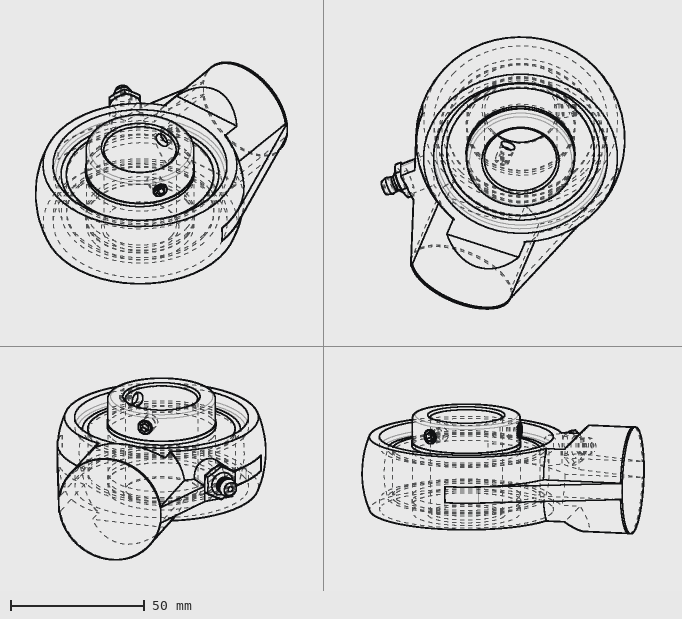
import cadquery as cq
import math


total_length = 102.7
body_radius = 39.0
shank_end_y = total_length - body_radius

body_half_width = 13.9
body_face_radius = 36.3
recess_diameter = 65.0
recess_floor_z = 9.2
recess_fillet = 1.0
seat_radius = 30.9

shank_radius = 39.8 / 2
end_collar_radius = 40.1 / 2
end_collar_length = 0.7
shank_start_y = 33.5
flat_end_y = 40.4
flat_ramp_height = shank_radius - body_half_width

web_half_thickness = 3.1

nipple_angle = 135.0
nipple_axis_z = 4.0
grease_boss_radius = 6.0
grease_boss_start = 33.9
grease_boss_end = 46.5
nipple_hex_flats = 11.5
nipple_hex_length = 3.0
nipple_crown_radius = 4.4
nipple_crown_slope = 20.0
nipple_neck_start = 50.8
nipple_groove_radius = 2.7
nipple_neck_radius = 3.1
nipple_collar_radius = 6.0 / 2
nipple_collar_start = 51.8
nipple_collar_end = 52.4
nipple_head_radius = 3.4
nipple_head_widest = 53.9
nipple_tip_radius = 2.6
nipple_tip = 56.1
nipple_ball_radius = 1.2
nipple_ball_center = 55.4

outer_ring_half_width = recess_floor_z
outer_ring_bore_diameter = 55.1

inner_ring_diameter = 40.3
inner_ring_bore_diameter = 27.0
inner_ring_top_z = 22.2
inner_ring_bottom_z = -15.8
inner_ring_fillet = 1.0
inner_ring_bore_chamfer = 0.9

flinger_diameter = 55.0
flinger_collar_diameter = 40.8
flinger_collar_top_z = 11.9
flinger_face_inner_z = 10.5
flinger_face_outer_z = recess_floor_z
flinger_bottom_z = 8.2

screw_angles = (90.0, -30.0)
screw_z = 17.2
screw_diameter = 5.3
screw_inner_end = 15.7
screw_outer_end = 20.8
screw_chamfer = 0.3
socket_flats = 2.9
socket_depth = 2.6


def hexagon_corner_diameter(flats):
    return flats / math.cos(math.radians(30))


def radial_plane(angle, distance, height):
    """Plane facing outward at a given distance from the Z axis, with its local Y along Z."""
    a = math.radians(angle)
    return cq.Plane(
        origin=(distance * math.cos(a), distance * math.sin(a), height),
        xDir=(-math.sin(a), math.cos(a), 0),
        normal=(math.cos(a), math.sin(a), 0),
    )


def cylinder(diameter, bottom, top):
    return cq.Workplane("XY").workplane(offset=bottom).circle(diameter / 2).extrude(top - bottom)


def make_barrel():
    return (
        cq.Workplane("XZ")
        .moveTo(0, -body_half_width)
        .lineTo(body_face_radius, -body_half_width)
        .threePointArc((body_radius, 0), (body_face_radius, body_half_width))
        .lineTo(0, body_half_width)
        .close()
        .revolve(360, (0, 0), (0, 1))
    )


def make_shank():
    end_plane = cq.Workplane("XZ", origin=(0, shank_end_y, 0))
    shank = end_plane.circle(shank_radius).extrude(shank_end_y - shank_start_y)
    end_collar = end_plane.circle(end_collar_radius).extrude(end_collar_length)
    flat_cutter = (
        cq.Workplane("YZ")
        .moveTo(0, body_half_width)
        .lineTo(flat_end_y, body_half_width)
        .lineTo(flat_end_y + flat_ramp_height, shank_radius)
        .lineTo(0, shank_radius)
        .close()
        .extrude(shank_radius, both=True)
    )
    return shank.cut(flat_cutter).cut(flat_cutter.mirror("XY")).union(end_collar)


def make_web():
    corner_distance = math.hypot(shank_radius, shank_end_y)
    corner_angle = math.atan2(shank_end_y, shank_radius)
    tangent_angle = corner_angle - math.acos(body_radius / corner_distance)
    tangent_x = body_radius * math.cos(tangent_angle)
    tangent_y = body_radius * math.sin(tangent_angle)
    arc_mid_x = body_radius * math.cos(tangent_angle / 2)
    arc_mid_y = body_radius * math.sin(tangent_angle / 2)
    return (
        cq.Workplane("XY")
        .moveTo(-shank_radius, shank_end_y)
        .lineTo(-tangent_x, tangent_y)
        .threePointArc((-arc_mid_x, arc_mid_y), (-body_radius, 0))
        .lineTo(body_radius, 0)
        .threePointArc((arc_mid_x, arc_mid_y), (tangent_x, tangent_y))
        .lineTo(shank_radius, shank_end_y)
        .close()
        .extrude(web_half_thickness, both=True)
    )


def make_grease_boss():
    skirt_bottom = -web_half_thickness - nipple_axis_z
    return (
        cq.Workplane(radial_plane(nipple_angle, grease_boss_start, nipple_axis_z))
        .moveTo(-grease_boss_radius, skirt_bottom)
        .lineTo(grease_boss_radius, skirt_bottom)
        .lineTo(grease_boss_radius, 0)
        .threePointArc((0, grease_boss_radius), (-grease_boss_radius, 0))
        .close()
        .extrude(grease_boss_end - grease_boss_start)
    )


def make_seat_sphere():
    return cq.Workplane("XY").sphere(seat_radius)


def make_recess():
    """Cutter for the round recess in the top face, rounded where the wall meets the floor."""
    return (
        cylinder(recess_diameter, recess_floor_z, body_half_width)
        .faces("<Z")
        .edges()
        .fillet(recess_fillet)
    )


def make_housing():
    recess = make_recess()
    plate = make_shank().union(make_web()).union(make_grease_boss())
    solid = make_barrel().union(plate)
    return solid.cut(recess).cut(recess.mirror("XY")).cut(make_seat_sphere())


def revolve_about_nipple_axis(points):
    """Solid of revolution from (radius, distance from the Z axis) points on the nipple axis."""
    a = math.radians(nipple_angle)
    profile_plane = cq.Plane(
        origin=(0, 0, nipple_axis_z),
        xDir=(0, 0, 1),
        normal=(-math.sin(a), math.cos(a), 0),
    )
    return cq.Workplane(profile_plane).polyline(points).close().revolve(360, (0, 0), (0, 1))


def make_nipple_hexagon():
    corner_diameter = hexagon_corner_diameter(nipple_hex_flats)
    hexagon = (
        cq.Workplane(radial_plane(nipple_angle, grease_boss_end, nipple_axis_z))
        .transformed(rotate=(0, 0, 90))
        .polygon(6, corner_diameter)
        .extrude(nipple_hex_length)
    )
    corner_radius = corner_diameter / 2
    hex_end = grease_boss_end + nipple_hex_length
    crown_drop = (corner_radius - nipple_crown_radius) * math.tan(math.radians(nipple_crown_slope))
    crown = revolve_about_nipple_axis([
        (0, grease_boss_end),
        (corner_radius, grease_boss_end),
        (corner_radius, hex_end - crown_drop),
        (nipple_crown_radius, hex_end),
        (0, hex_end),
    ])
    return hexagon.intersect(crown)


def make_nipple_head():
    hex_end = grease_boss_end + nipple_hex_length
    return revolve_about_nipple_axis([
        (0, hex_end),
        (nipple_crown_radius, hex_end),
        (nipple_neck_radius, nipple_neck_start),
        (nipple_groove_radius, nipple_collar_start),
        (nipple_collar_radius, nipple_collar_start),
        (nipple_collar_radius, nipple_collar_end),
        (nipple_head_radius, nipple_head_widest),
        (nipple_tip_radius, nipple_tip),
        (0, nipple_tip),
    ])


def make_nipple_ball():
    center_plane = radial_plane(nipple_angle, nipple_ball_center, nipple_axis_z)
    return cq.Workplane(center_plane).sphere(nipple_ball_radius)


def make_nipple():
    return make_nipple_hexagon().union(make_nipple_head()).union(make_nipple_ball())


def make_outer_ring():
    slab = cylinder(2 * seat_radius, -outer_ring_half_width, outer_ring_half_width)
    bore = cylinder(outer_ring_bore_diameter, -outer_ring_half_width, outer_ring_half_width)
    return make_seat_sphere().intersect(slab).cut(bore)


def make_inner_ring():
    ring = (
        cylinder(inner_ring_diameter, inner_ring_bottom_z, inner_ring_top_z)
        .faces("<Z or >Z")
        .edges()
        .fillet(inner_ring_fillet)
    )
    bore = cylinder(inner_ring_bore_diameter, inner_ring_bottom_z, inner_ring_top_z)
    ring = ring.cut(bore)
    ring = ring.faces("<Z or >Z").edges("%CIRCLE").edges(
        cq.selectors.RadiusNthSelector(0)).chamfer(inner_ring_bore_chamfer)
    for angle in screw_angles:
        hole = (
            cq.Workplane(radial_plane(angle, 0, screw_z))
            .circle(screw_diameter / 2)
            .extrude(inner_ring_diameter / 2 + 1)
        )
        ring = ring.cut(hole)
    return ring


def make_flinger():
    inner_radius = inner_ring_diameter / 2
    collar_radius = flinger_collar_diameter / 2
    outer_radius = flinger_diameter / 2
    return (
        cq.Workplane("XZ")
        .moveTo(inner_radius, flinger_bottom_z)
        .lineTo(outer_radius, flinger_bottom_z)
        .lineTo(outer_radius, flinger_face_outer_z)
        .lineTo(collar_radius, flinger_face_inner_z)
        .lineTo(collar_radius, flinger_collar_top_z)
        .lineTo(inner_radius, flinger_collar_top_z)
        .close()
        .revolve(360, (0, 0), (0, 1))
    )


def make_set_screw(angle):
    screw = (
        cq.Workplane(radial_plane(angle, screw_inner_end, screw_z))
        .circle(screw_diameter / 2)
        .extrude(screw_outer_end - screw_inner_end)
        .edges("%CIRCLE")
        .chamfer(screw_chamfer)
    )
    socket = (
        cq.Workplane(radial_plane(angle, screw_outer_end, screw_z))
        .transformed(rotate=(0, 0, 90))
        .polygon(6, hexagon_corner_diameter(socket_flats))
        .extrude(-socket_depth)
    )
    return screw.cut(socket)


housing = make_housing()
outer_ring = make_outer_ring()
inner_ring = make_inner_ring()
top_flinger = make_flinger()
flingers = [top_flinger, top_flinger.mirror("XY")]
set_screws = [make_set_screw(angle) for angle in screw_angles]
nipple = make_nipple()

result = cq.Compound.makeCompound(
    [housing.val(), outer_ring.val(), inner_ring.val(), nipple.val()]
    + [flinger.val() for flinger in flingers]
    + [screw.val() for screw in set_screws]
)